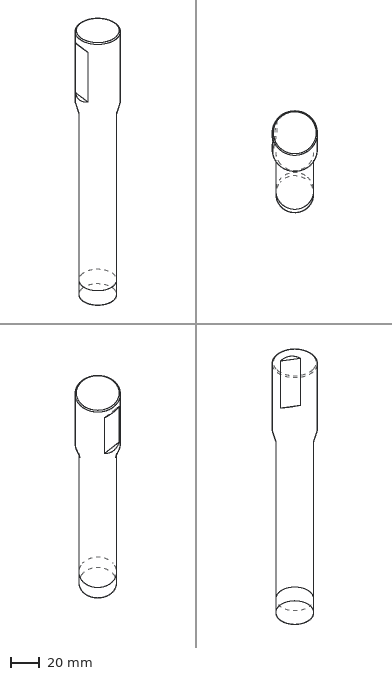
import cadquery as cq

total_length = 230.0

tip_radius = 26.5 / 2
point_height = 4.8
tip_top = 17.2
tip_back_taper = 0.05

shank_radius = tip_radius - tip_back_taper
shank_top = 159.6
head_radius = 31.7 / 2
head_bottom = 170.0
head_chamfer = 1.0

flat_depth = 1.72
flat_bottom = 179.0
flat_top = 221.3


def revolve_profile(profile):
    """Turn a closed (radius, height) profile around the Z axis."""
    outline = cq.Workplane("XZ").polyline(profile).close()
    return outline.revolve(360, (0, 0, 0), (0, 1, 0))


def make_tip():
    return revolve_profile([
        (0, 0),
        (tip_radius, point_height),
        (tip_radius - tip_back_taper, tip_top),
        (0, tip_top),
    ])


def make_flat_cutter():
    """Trapezoidal prism across X; it opens outward to the head surface."""
    floor_y = flat_depth - head_radius
    outline = [
        (floor_y, flat_bottom),
        (floor_y, flat_top),
        (-head_radius, flat_top + flat_depth),
        (-head_radius, flat_bottom - flat_depth),
    ]
    return cq.Workplane("YZ").polyline(outline).close().extrude(head_radius, both=True)


def make_holder():
    body = revolve_profile([
        (0, tip_top),
        (shank_radius, tip_top),
        (shank_radius, shank_top),
        (head_radius, head_bottom),
        (head_radius, total_length - head_chamfer),
        (head_radius - head_chamfer, total_length),
        (0, total_length),
    ])
    return body.cut(make_flat_cutter())


tip = make_tip()
holder = make_holder()
result = cq.Compound.makeCompound([tip.val(), holder.val()])